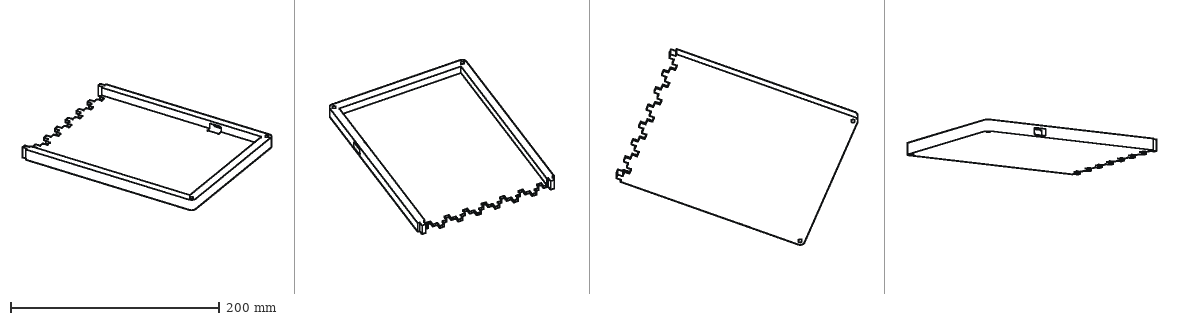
import cadquery as cq

length = 193.7
width = 147.5
height = 11.5

floor_thickness = 3.0
side_wall = 8.0
end_wall = 8.5
corner_radius = 4.6

finger_length = 5.0
finger_width = 5.0
finger_pitch = 20.0
notch_count = 7
finger_count = notch_count - 1
end_tab_setback = 2.1

hole_diameter = 3.5
hole_inset_x = 4.6
hole_inset_y = 4.5

slot_width = 13.0
slot_bottom = 1.7
slot_top = 8.5
slot_corner_radius = 1.5
slot_center_x = 36.2
slot_reach = 4.3

left = -length / 2
right = length / 2
back = width / 2
inner_back = back - side_wall
shoulder_x = left + finger_length


def box(x_min, x_max, y_min, y_max, z_min, z_max):
    size = (x_max - x_min, y_max - y_min, z_max - z_min)
    return cq.Workplane("XY").box(*size, centered=False).translate((x_min, y_min, z_min))


def tray():
    """Shallow tray, open at the top and at -X."""
    body = box(shoulder_x, right, -back, back, 0, height)
    body = body.edges("|Z and >X").fillet(corner_radius)
    cavity = box(shoulder_x, right - end_wall, -inner_back, inner_back, floor_thickness, height)
    return body.cut(cavity)


def floor_blocks(count, x_min):
    """Row of floor-high blocks along Y, centred on Y = 0."""
    first_y = -(count - 1) / 2 * finger_pitch
    row = cq.Workplane("XY")
    for i in range(count):
        y_min = first_y + i * finger_pitch - finger_width / 2
        row = row.add(box(x_min, x_min + finger_length, y_min, y_min + finger_width, 0, floor_thickness))
    return row.combine()


def end_tabs():
    """Full-height tabs on the ends of both side walls, continuing the finger pattern."""
    inner_y = notch_count / 2 * finger_pitch - finger_width / 2
    outer_y = back - end_tab_setback
    tab = box(left, shoulder_x, inner_y, outer_y, 0, height)
    return tab.union(tab.mirror("XZ"))


def screw_holes():
    x = right - hole_inset_x
    y = back - hole_inset_y
    points = [(x, -y), (x, y)]
    return cq.Workplane("XY").pushPoints(points).circle(hole_diameter / 2).extrude(height)


def connector_slot():
    x_min = slot_center_x - slot_width / 2
    opening = box(x_min, x_min + slot_width, inner_back - slot_reach, back, slot_bottom, slot_top)
    return opening.edges("|Y").fillet(slot_corner_radius)


result = (
    tray()
    .cut(floor_blocks(notch_count, shoulder_x))
    .union(floor_blocks(finger_count, left))
    .union(end_tabs())
    .cut(screw_holes())
    .cut(connector_slot())
)